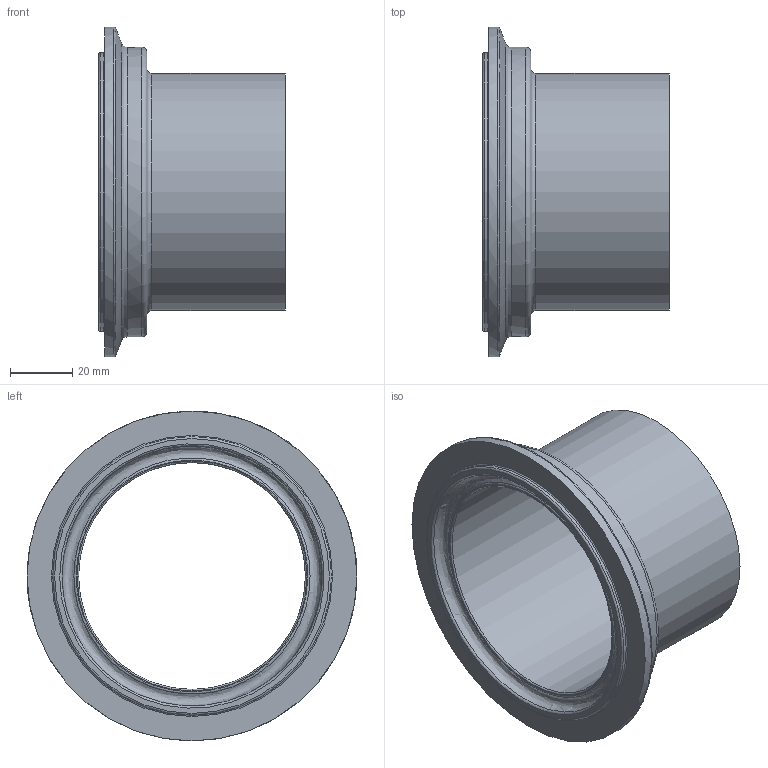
import cadquery as cq
import math

length = 60.0
tube_radius = 76.2 / 2
bore_radius = 72.9 / 2

flange_radius = 106.0 / 2
flange_face_x = 2.0
flange_rim_end_x = 5.35
flange_edge_round = 0.7
cone_end_x = 7.85

collar_radius = 93.0 / 2
collar_end_x = 15.5
collar_edge_round = 1.6
cone_root_round = 2.0
tube_root_round = 1.6

nose_radius = 89.5 / 2
nose_edge_round = 0.6
nose_root_round = 0.4

groove_outer_radius = 41.8
groove_round = 2.3
groove_center_radius = groove_outer_radius - groove_round
groove_center_x = 1.8
groove_floor_x = groove_center_x + groove_round
groove_mouth_round = 0.7
lip_x = 3.2
lip_depth_from_center = lip_x - groove_center_x
lip_rise = math.sqrt(groove_round**2 - lip_depth_from_center**2)
lip_radius = groove_center_radius - lip_rise
lip_round = 1.1
bore_edge_round = 0.5

selection_tolerance = 0.01


def make_body():
    """Revolved body with sharp corners; the groove is one smooth curve from lip to mouth."""
    groove_points = [(groove_floor_x, groove_center_radius), (0, groove_outer_radius)]
    groove_tangents = [(lip_rise, lip_depth_from_center), (0, 1), (-1, 0)]
    profile = (
        cq.Workplane("XY")
        .moveTo(lip_x, bore_radius)
        .lineTo(lip_x, lip_radius)
        .spline(groove_points, tangents=groove_tangents, includeCurrent=True)
        .lineTo(0, nose_radius)
        .lineTo(flange_face_x, nose_radius)
        .lineTo(flange_face_x, flange_radius)
        .lineTo(flange_rim_end_x, flange_radius)
        .lineTo(cone_end_x, collar_radius)
        .lineTo(collar_end_x, collar_radius)
        .lineTo(collar_end_x, tube_radius)
        .lineTo(length, tube_radius)
        .lineTo(length, bore_radius)
        .close()
    )
    return profile.revolve(360, (0, 0, 0), (1, 0, 0))


def is_ring(edge, x, radius):
    """True for a circular edge at the given axial place and radius."""
    same_place = abs(edge.Center().x - x) < selection_tolerance
    same_size = abs(edge.radius() - radius) < selection_tolerance
    return same_place and same_size


def round_ring(body, x, radius, round_radius):
    """Fillet the circular edge at the given axial place and radius."""
    rings = [edge for edge in body.edges("%CIRCLE").vals() if is_ring(edge, x, radius)]
    return body.newObject(rings).fillet(round_radius)


rounded_corners = [
    (0, nose_radius, nose_edge_round),
    (flange_face_x, nose_radius, nose_root_round),
    (flange_rim_end_x, flange_radius, flange_edge_round),
    (cone_end_x, collar_radius, cone_root_round),
    (collar_end_x, collar_radius, collar_edge_round),
    (collar_end_x, tube_radius, tube_root_round),
    (0, groove_outer_radius, groove_mouth_round),
    (lip_x, lip_radius, lip_round),
    (lip_x, bore_radius, bore_edge_round),
]

body = make_body()
for corner_x, corner_radius, corner_round in rounded_corners:
    body = round_ring(body, corner_x, corner_radius, corner_round)

result = body.solids()